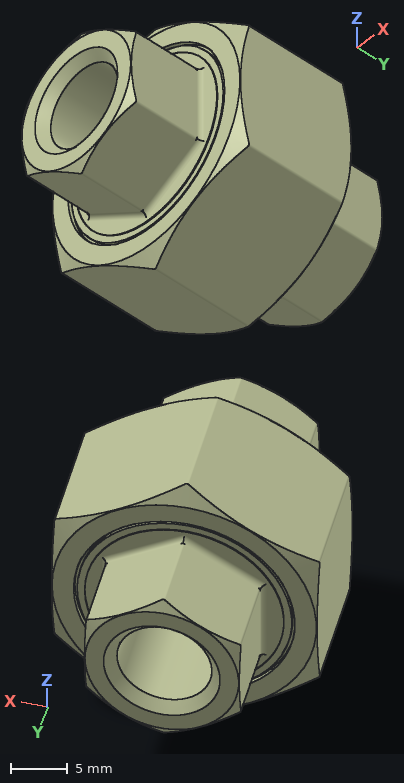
import cadquery as cq
import math

TOTAL_LENGTH = 30.5
NUT_LENGTH = 13.5
NUT_ACROSS_FLATS = 24.0
END_ACROSS_FLATS = 14.0
CORNER_RADIUS = 0.3

NUT_FACE_DIAMETER = 23.9
END_FACE_DIAMETER = 13.9
HEX_CHAMFER_ANGLE = 30.0

BASE_FILLET_RADIUS = 0.5

BORE_DIAMETER = 8.57
COUNTERSINK_DIAMETER = 10.53
COUNTERSINK_ANGLE = 45.0

NUT_OPENING_DIAMETER = 20.0
COLLAR_DIAMETER = 19.4
COLLAR_FACE_DIAMETER = 18.0
GROOVE_DEPTH = 0.5
COLLAR_STEP = 0.1

HEX_SIDES = 6
HALF_LENGTH = TOTAL_LENGTH / 2
HALF_NUT = NUT_LENGTH / 2


def y_cylinder(diameter, start, end):
    """Round bar about the Y axis between two Y positions."""
    plane = cq.Workplane("XZ", origin=(0, start, 0))
    return plane.circle(diameter / 2).extrude(start - end)


def revolve_about_y(points):
    """Turned body from a closed (radius, y) profile."""
    return cq.Workplane("XY").polyline(points).close().revolve(360, (0, 0), (0, 1))


def chamfered_hexagon(across_flats, length, face_diameter):
    """Hexagonal bar centred on the origin, corners rounded and both ends coned."""
    across_corners = across_flats / math.cos(math.pi / HEX_SIDES)
    bar = (
        cq.Workplane("XZ")
        .transformed(rotate=(0, 0, 90))
        .polygon(HEX_SIDES, across_corners)
        .extrude(length / 2, both=True)
        .edges("|Y")
        .fillet(CORNER_RADIUS)
    )
    face_radius = face_diameter / 2
    outer_radius = across_corners / 2
    end = length / 2
    shoulder = end - (outer_radius - face_radius) * math.tan(math.radians(HEX_CHAMFER_ANGLE))
    envelope = revolve_about_y([
        (0, -end),
        (face_radius, -end),
        (outer_radius, -shoulder),
        (outer_radius, shoulder),
        (face_radius, end),
        (0, end),
    ])
    return bar.intersect(envelope)


def flared_slab(angle):
    """Slab across one pair of flats, widening with the base fillet down to the front nut face."""
    half_width = END_ACROSS_FLATS / 2
    foot = half_width + BASE_FILLET_RADIUS
    top = -HALF_NUT - BASE_FILLET_RADIUS
    arc_offset = BASE_FILLET_RADIUS * (1 - math.sqrt(0.5))
    arc_x = half_width + arc_offset
    arc_y = -HALF_NUT - arc_offset
    return (
        cq.Workplane("XY")
        .moveTo(half_width, top)
        .threePointArc((arc_x, arc_y), (foot, -HALF_NUT))
        .lineTo(foot, 0)
        .lineTo(-foot, 0)
        .lineTo(-foot, -HALF_NUT)
        .threePointArc((-arc_x, arc_y), (-half_width, top))
        .close()
        .extrude(END_ACROSS_FLATS, both=True)
        .rotate((0, 0, 0), (0, 1, 0), angle)
    )


def base_flare():
    """Mitred fillet around the foot of the front end hexagon."""
    flare = flared_slab(0)
    for pair in range(1, HEX_SIDES // 2):
        flare = flare.intersect(flared_slab(pair * 360 / HEX_SIDES))
    return flare


def face_recess():
    """Material removed from the front nut face around the stepped collar."""
    groove_floor = -HALF_NUT + GROOVE_DEPTH
    step_floor = -HALF_NUT + COLLAR_STEP
    groove = y_cylinder(NUT_OPENING_DIAMETER, -HALF_NUT, groove_floor)
    groove = groove.cut(y_cylinder(COLLAR_DIAMETER, -HALF_NUT, groove_floor))
    step = y_cylinder(COLLAR_DIAMETER, -HALF_NUT, step_floor)
    step = step.cut(y_cylinder(COLLAR_FACE_DIAMETER, -HALF_NUT, step_floor))
    return groove.union(step)


def bore():
    """Through bore with a countersink at each end."""
    bore_radius = BORE_DIAMETER / 2
    mouth_radius = COUNTERSINK_DIAMETER / 2
    sink_depth = (mouth_radius - bore_radius) / math.tan(math.radians(COUNTERSINK_ANGLE))
    sink_floor = HALF_LENGTH - sink_depth
    return revolve_about_y([
        (0, -HALF_LENGTH),
        (mouth_radius, -HALF_LENGTH),
        (bore_radius, -sink_floor),
        (bore_radius, sink_floor),
        (mouth_radius, HALF_LENGTH),
        (0, HALF_LENGTH),
    ])


nut = chamfered_hexagon(NUT_ACROSS_FLATS, NUT_LENGTH, NUT_FACE_DIAMETER)
recess = face_recess()
nut = nut.cut(recess).cut(recess.mirror("XZ"))

ends = chamfered_hexagon(END_ACROSS_FLATS, TOTAL_LENGTH, END_FACE_DIAMETER)
flare = base_flare()

result = nut.union(ends).union(flare).union(flare.mirror("XZ")).cut(bore())